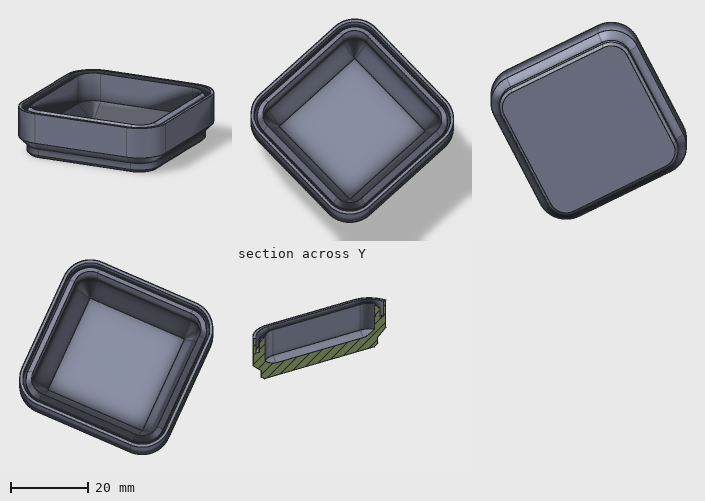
import cadquery as cq

side = 41.5
height = 12.75
corner_radius = 7.5
foot_chamfer = 0.8
foot_wall_height = 1.8
shoulder_chamfer = 2.15
shoulder_bottom = foot_chamfer + foot_wall_height
shoulder_top = shoulder_bottom + shoulder_chamfer

rim_width = 0.8
groove_floor_width = 0.8
groove_depth = 4.4
bevel_width = 1.5
bevel_height = 1.8
groove_inset = rim_width + groove_floor_width

cavity_inset = groove_inset + bevel_width
floor_thickness = 1.0
floor_corner_radius = 0.15
cavity_taper = corner_radius - cavity_inset - floor_corner_radius


def rounded_block(inset, z_bottom, z_top):
    """Upright block whose rounded sides lie a constant inset inside the outer walls."""
    width = side - 2 * inset
    return (
        cq.Workplane("XY")
        .workplane(offset=z_bottom)
        .rect(width, width)
        .extrude(z_top - z_bottom)
        .edges("|Z")
        .fillet(corner_radius - inset)
    )


def make_body():
    """Foot with a chamfered base, below a full-width block with a chamfered shoulder."""
    foot = rounded_block(shoulder_chamfer, 0, shoulder_top).faces("<Z").chamfer(foot_chamfer)
    upper = rounded_block(0, shoulder_bottom, height).faces("<Z").chamfer(shoulder_chamfer)
    return upper.union(foot)


def make_cavity():
    """Open cavity with tapered lower sides."""
    return rounded_block(cavity_inset, floor_thickness, height).faces("<Z").chamfer(cavity_taper)


def make_groove():
    """Ring-shaped groove behind the rim, widened at the top by the bevel of the inner wall."""
    groove_bottom = height - groove_depth
    core = rounded_block(groove_inset, groove_bottom, height)
    bevelled_core = core.faces(">Z").chamfer(bevel_height, bevel_width)
    return rounded_block(rim_width, groove_bottom, height).cut(bevelled_core)


result = make_body().cut(make_cavity()).cut(make_groove())